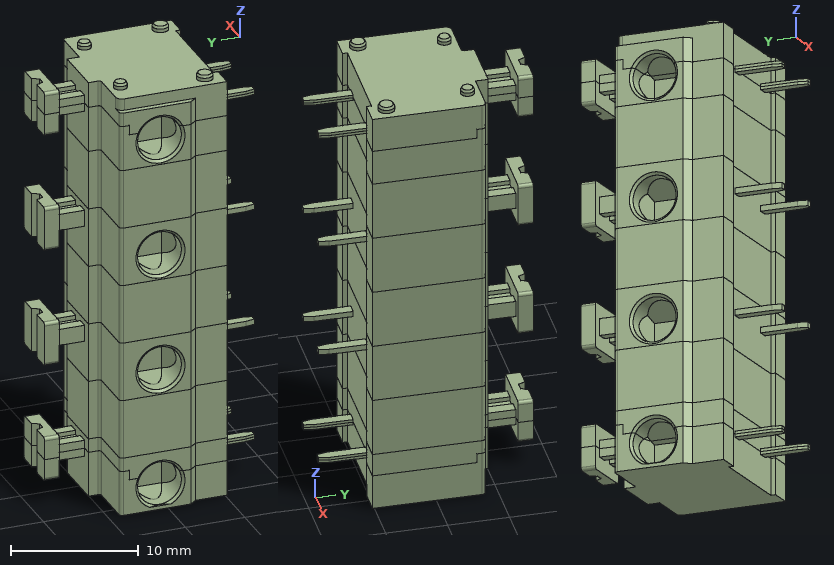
import cadquery as cq
import math


total_height = 36.5
slice_height = 5.0
pole_count = 4
pole_pitch = 2 * slice_height
end_plate_height = 1.0
last_pole = pole_count - 1

housing_width = 12.0
shoulder_y = 9.2
tower_y = 10.22
tower_left = 3.75
tower_width = 4.6
foot_width = 1.97
foot_height = 0.4
ridge_depth = 0.47
ridge_root_x = 0.35
ridge_foot_y = 2.65
ridge_foot_bevel = 0.6
corner_radius = 0.35
ridge_corner_radius = 0.3
end_plate_corner_radius = 0.55
tower_root_radius = 0.22
middle_x = housing_width / 2

entry_diameter = 3.7
entry_y = 5.8
entry_z = 2.2
entry_chamfer = 0.22
entry_depth = 2.92
throat_low_y = 4.6
throat_high_y = 7.0
throat_low_z = 0.8
throat_high_z = 2.77
throat_side_angle = 22.5
throat_floor_angle = 15
throat_roof_angle = 36
bottom_wall = 0.33

lever_z = 3.85
head_width = 4.5
head_height = 3.75
head_thickness = 1.25
head_outer_y = 13.9
head_corner_radius = 0.25
notch_mouth_width = 1.15
notch_floor_width = 0.65
notch_depth = 0.6
stem_width = 2.85
stem_height = 1.4
stem_groove_width = 1.02
stem_groove_depth = 0.35

pin_spacing = 5.0
pin_width = 0.85
pin_thickness = 0.47
pin_tip_y = -3.58
pin_tip_width = 0.5
pin_tip_length = 0.8
pin_z = 3.03

body_height = last_pole * pole_pitch + slice_height + end_plate_height
peg_height = total_height - body_height
peg_chamfer_width = 0.1
peg_chamfer_height = 0.22
upper_peg_diameter = 1.1
upper_peg_spacing = 7.77
upper_peg_y = 8.18
lower_peg_diameter = 1.3
lower_peg_spacing = 9.55
lower_peg_y = 1.42

joint_step_y = 8.43
joint_margin = 3.65


def box(x_range, y_range, z_range):
    """Box given by its limits along the three axes."""
    size = [high - low for low, high in (x_range, y_range, z_range)]
    corner = (x_range[0], y_range[0], z_range[0])
    return cq.Workplane("XY").box(*size, centered=False).translate(corner)


def fillet_upright_edge(body, x, y, radius):
    """Round the vertical edge that passes through (x, y)."""
    edge = body.edges("|Z").edges(cq.selectors.NearestToPointSelector((x, y, 0)))
    return edge.fillet(radius)


def housing_section(height):
    """Plain housing without the ridge: block with tower on top and two feet."""
    block = box((0, housing_width), (0, shoulder_y), (0, height))
    block = fillet_upright_edge(block, housing_width, shoulder_y, corner_radius)
    tower_right = tower_left + tower_width
    tower = box((tower_left, tower_right), (foot_height, tower_y), (0, height))
    gap = box((foot_width, housing_width - foot_width), (0, foot_height), (0, height))
    section = block.union(tower).cut(gap)
    return fillet_upright_edge(section, tower_left, shoulder_y, tower_root_radius)


def wire_ridge(height):
    """Ridge along the left wall, bevelled at its lower end and rounded at its upper end."""
    return (
        cq.Workplane("XY")
        .moveTo(ridge_root_x, shoulder_y)
        .lineTo(ridge_corner_radius - ridge_depth, shoulder_y)
        .radiusArc((-ridge_depth, shoulder_y - ridge_corner_radius), -ridge_corner_radius)
        .lineTo(-ridge_depth, ridge_foot_y + ridge_foot_bevel)
        .lineTo(0, ridge_foot_y)
        .lineTo(ridge_root_x, ridge_foot_y)
        .close()
        .extrude(height)
    )


def ridged_section(height):
    return housing_section(height).union(wire_ridge(height))


def throat_rectangle(distance):
    """Cross-section of the tapered throat at a distance in front of its inner end."""
    side = distance * math.tan(math.radians(throat_side_angle))
    floor = distance * math.tan(math.radians(throat_floor_angle))
    roof = distance * math.tan(math.radians(throat_roof_angle))
    x = entry_depth - ridge_depth - distance
    low_y = throat_low_y - side
    high_y = throat_high_y + side
    low_z = throat_low_z - floor
    high_z = throat_high_z + roof
    corners = [(x, low_y, low_z), (x, high_y, low_z), (x, high_y, high_z), (x, low_y, high_z)]
    return cq.Wire.makePolygon([cq.Vector(*corner) for corner in corners], close=True)


def wire_entry():
    """Cutter for a round hole that narrows to a rectangle, with a chamfered mouth."""
    face_point = cq.Vector(-ridge_depth, entry_y, entry_z)
    inward = cq.Vector(1, 0, 0)
    radius = entry_diameter / 2
    bore = cq.Solid.makeCylinder(radius, entry_depth, face_point, inward)
    throat = cq.Solid.makeLoft([throat_rectangle(0), throat_rectangle(entry_depth)], True)
    mouth = cq.Solid.makeCone(radius + entry_chamfer, radius, entry_chamfer, face_point, inward)
    return cq.Workplane(bore).intersect(cq.Workplane(throat)).union(cq.Workplane(mouth))


def push_lever():
    """T-shaped lever: notched head on a stem that is grooved on both flat sides."""
    head_inner_y = head_outer_y - head_thickness
    head = (
        cq.Workplane("XY")
        .box(head_width, head_thickness, head_height)
        .edges("|Y")
        .fillet(head_corner_radius)
        .translate((middle_x, head_outer_y - head_thickness / 2, lever_z))
    )
    notch = (
        cq.Workplane("XY")
        .polyline([
            (-notch_mouth_width / 2, 0),
            (-notch_floor_width / 2, -notch_depth),
            (notch_floor_width / 2, -notch_depth),
            (notch_mouth_width / 2, 0),
        ])
        .close()
        .extrude(head_height / 2, both=True)
        .translate((middle_x, head_outer_y, lever_z))
    )
    stem_length = head_inner_y - tower_y
    stem_y = tower_y + stem_length / 2
    stem = cq.Workplane("XY").box(stem_width, stem_length, stem_height)
    for side in (-1, 1):
        groove = cq.Workplane("XY").box(stem_groove_width, stem_length, 2 * stem_groove_depth)
        stem = stem.cut(groove.translate((0, 0, side * stem_height / 2)))
    return head.cut(notch).union(stem.translate((middle_x, stem_y, lever_z)))


def solder_pin(x):
    """Flat pin pointing to -Y with a tapered tip."""
    taper_y = pin_tip_y + pin_tip_length
    return (
        cq.Workplane("XY")
        .polyline([
            (x - pin_width / 2, foot_height),
            (x - pin_width / 2, taper_y),
            (x - pin_tip_width / 2, pin_tip_y),
            (x + pin_tip_width / 2, pin_tip_y),
            (x + pin_width / 2, taper_y),
            (x + pin_width / 2, foot_height),
        ])
        .close()
        .extrude(pin_thickness)
        .translate((0, 0, pin_z - pin_thickness / 2))
    )


def pole(entry):
    """Housing slice with wire entry, lever and two pins, standing on Z = 0."""
    body = ridged_section(slice_height).cut(entry).union(push_lever())
    for side in (-1, 1):
        body = body.union(solder_pin(middle_x + side * pin_spacing / 2))
    return body


def bottom_pole():
    """Pole whose wire entry stops above the bottom wall."""
    wall = box((-ridge_depth, housing_width), (0, shoulder_y), (0, bottom_wall))
    return pole(wire_entry().cut(wall))


def peg(x, y, diameter):
    radius = diameter / 2
    half_profile = (
        cq.Workplane("XZ")
        .polyline([
            (0, 0),
            (radius, 0),
            (radius, peg_height - peg_chamfer_height),
            (radius - peg_chamfer_width, peg_height),
            (0, peg_height),
        ])
        .close()
    )
    return half_profile.revolve(360, (0, 0), (0, 1)).translate((x, y, 0))


def end_plate():
    """Closing plate with four locating pegs, standing on Z = 0."""
    plate = housing_section(end_plate_height)
    plate = fillet_upright_edge(plate, 0, shoulder_y, end_plate_corner_radius)
    for side in (-1, 1):
        upper = peg(middle_x + side * upper_peg_spacing / 2, upper_peg_y, upper_peg_diameter)
        lower = peg(middle_x + side * lower_peg_spacing / 2, lower_peg_y, lower_peg_diameter)
        for one_peg in (upper, lower):
            plate = plate.union(one_peg.translate((0, 0, end_plate_height)))
    return plate


def below_joint():
    """Region below the stepped joint: through the pin middles, then up to the lever middle."""
    low_y = pin_tip_y - joint_margin
    high_y = head_outer_y + joint_margin
    width = housing_width + 2 * joint_margin
    return (
        cq.Workplane("YZ")
        .polyline([
            (low_y, -joint_margin),
            (low_y, pin_z),
            (joint_step_y, pin_z),
            (joint_step_y, lever_z),
            (high_y, lever_z),
            (high_y, -joint_margin),
        ])
        .close()
        .extrude(width)
        .translate((-joint_margin, 0, 0))
    )


lower_region = below_joint()

bottom_end = bottom_pole().intersect(lower_region)
bottom_pole_cover = bottom_pole().cut(lower_region)

middle_poles = []
for index in range(1, last_pole):
    middle_poles.append(pole(wire_entry()).translate((0, 0, index * pole_pitch)))

spacers = []
for index in range(last_pole):
    spacer_z = index * pole_pitch + slice_height
    spacers.append(ridged_section(slice_height).translate((0, 0, spacer_z)))

top_pole_z = last_pole * pole_pitch
top_pole = pole(wire_entry())
top_pole_base = top_pole.intersect(lower_region).translate((0, 0, top_pole_z))
top_end = (
    top_pole.cut(lower_region)
    .union(end_plate().translate((0, 0, slice_height)))
    .clean()
    .translate((0, 0, top_pole_z))
)

result = cq.Compound.makeCompound([
    bottom_end.val(),
    bottom_pole_cover.val(),
    *[body.val() for body in middle_poles],
    *[body.val() for body in spacers],
    top_pole_base.val(),
    top_end.val(),
])